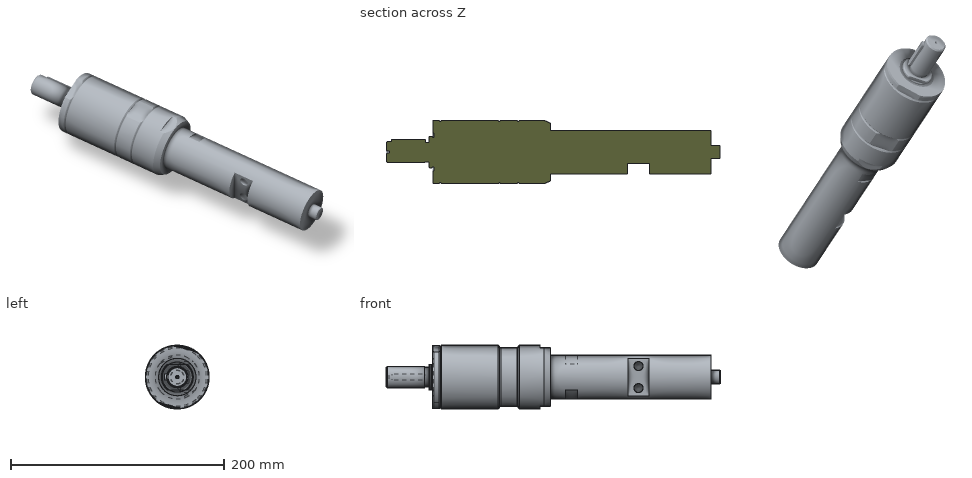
import cadquery as cq
import math

TOTAL_LENGTH = 313.5

SHAFT_DIA = 20.0
SHAFT_CHAMFER = 1.3
SHAFT_END = 36.0
NECK_DIA = 18.8
CENTRE_HOLE_DIA = 1.55
CENTRE_HOLE_DEPTH = 3.0
CENTRE_CONE_DIA = 3.0
CENTRE_CONE_DEPTH = 1.3

KEY_START = 4.7
KEY_LENGTH = 32.3
KEY_WIDTH = 6.0
KEY_TOP = 12.0

COLLAR_DIA = 30.0
COLLAR_START = 40.0
COLLAR_CHAMFER = 1.0
COLLAR_FLATS = 23.8
RECESS_DIA = 35.0
RECESS_DEPTH = 1.0

BODY_DIA = 60.0
BODY_FLATS = 55.2
FLANGE_START = 43.5
FLANGE_EDGE_LENGTH = 2.0
FLANGE_EDGE_DEPTH = 0.3
FLANGE_FLAT_ANGLE = 15.0
FLANGE_GROOVE = 50.8
BAND_START = 106.3
BAND_END = 123.8
GROOVE_HALF_WIDTH = 1.3
GROOVE_DEPTH = 1.3
REAR_FLAT_START = 144.5
REAR_CONE_START = 148.3
BODY_END = 154.2
REAR_CONE_DIA = 54.5

TUBE_DIA = 41.5
TUBE_END = 304.7
TUBE_FLATS = 38.0
TUBE_FLAT_START = 168.5
TUBE_FLAT_LENGTH = 11.0
TUBE_FLAT_ANGLE = -30.0

NOTCH_START = 226.7
NOTCH_LENGTH = 20.0
NOTCH_FLOOR = 11.0
DRILL_DIA = 8.5
DRILL_SPACING = 20.7
DRILL_DEPTH = 7.8
DRILL_TIP_ANGLE = 118.0

STUB_DIA = 13.0
STUB_CHAMFER_LENGTH = 1.0
STUB_CHAMFER_DEPTH = 0.3


def turned_section(outline):
    """Solid of revolution about X from (x, radius) points, closed along the axis."""
    points = [(outline[0][0], 0)] + outline + [(outline[-1][0], 0)]
    return cq.Workplane("XY").polyline(points).close().revolve(360, (0, 0), (1, 0))


def cylinder(start, end, diameter):
    return turned_section([(start, diameter / 2), (end, diameter / 2)])


def flat_pair(start, length, across, angle=0.0):
    """Cutter for two opposite flats, facing +Z and -Z before turning by angle about X."""
    block = cq.Workplane("XY").box(length, BODY_DIA, BODY_DIA, centered=(False, True, False))
    upper = block.translate((start, 0, across / 2))
    lower = upper.mirror("XY")
    return upper.union(lower).rotate((0, 0, 0), (1, 0, 0), angle)


def make_shaft():
    radius = SHAFT_DIA / 2
    shaft = turned_section([
        (0, radius - SHAFT_CHAMFER),
        (SHAFT_CHAMFER, radius),
        (SHAFT_END, radius),
        (SHAFT_END, NECK_DIA / 2),
        (FLANGE_START + RECESS_DEPTH, NECK_DIA / 2),
    ])
    centre_hole = turned_section([
        (0, CENTRE_CONE_DIA / 2),
        (CENTRE_CONE_DEPTH, CENTRE_HOLE_DIA / 2),
        (CENTRE_HOLE_DEPTH, CENTRE_HOLE_DIA / 2),
    ])
    key = (
        cq.Workplane("XZ")
        .center(KEY_START + KEY_LENGTH / 2, 0)
        .slot2D(KEY_LENGTH, KEY_WIDTH)
        .extrude(-KEY_TOP)
    )
    return shaft.cut(centre_hole).union(key)


def make_collar():
    radius = COLLAR_DIA / 2
    edge_radius = radius - COLLAR_CHAMFER
    collar = turned_section([
        (COLLAR_START, edge_radius),
        (COLLAR_START + COLLAR_CHAMFER, radius),
        (FLANGE_START - COLLAR_CHAMFER, radius),
        (FLANGE_START, edge_radius),
        (FLANGE_START + RECESS_DEPTH, edge_radius),
    ])
    return collar.cut(flat_pair(COLLAR_START, FLANGE_START - COLLAR_START, COLLAR_FLATS))


def make_body():
    radius = BODY_DIA / 2
    outline = [
        (FLANGE_START, radius - FLANGE_EDGE_DEPTH),
        (FLANGE_START + FLANGE_EDGE_LENGTH, radius),
    ]
    for groove in (FLANGE_GROOVE, BAND_START, BAND_END):
        outline += [
            (groove - GROOVE_HALF_WIDTH, radius),
            (groove, radius - GROOVE_DEPTH),
            (groove + GROOVE_HALF_WIDTH, radius),
        ]
    outline += [(REAR_CONE_START, radius), (BODY_END, REAR_CONE_DIA / 2)]
    flange_flats = flat_pair(
        FLANGE_START, FLANGE_GROOVE - FLANGE_START, BODY_FLATS, FLANGE_FLAT_ANGLE
    )
    band_flats = flat_pair(BAND_START, BAND_END - BAND_START, BODY_FLATS)
    rear_flats = flat_pair(REAR_FLAT_START, BODY_END - REAR_FLAT_START, BODY_FLATS)
    recess = cylinder(FLANGE_START, FLANGE_START + RECESS_DEPTH, RECESS_DIA)
    return turned_section(outline).cut(flange_flats).cut(band_flats).cut(rear_flats).cut(recess)


def make_tube():
    tube = cylinder(BODY_END, TUBE_END, TUBE_DIA)
    tube = tube.cut(flat_pair(TUBE_FLAT_START, TUBE_FLAT_LENGTH, TUBE_FLATS, TUBE_FLAT_ANGLE))
    notch = (
        cq.Workplane("XY")
        .box(NOTCH_LENGTH, TUBE_DIA, TUBE_DIA, centered=(False, False, True))
        .translate((NOTCH_START, -NOTCH_FLOOR - TUBE_DIA, 0))
    )
    tube = tube.cut(notch)
    for side in (-1, 1):
        tube = tube.cut(drilled_hole(side * DRILL_SPACING / 2))
    return tube


def drilled_hole(height):
    """Blind hole with a conical tip, running in +Y from the notch floor."""
    radius = DRILL_DIA / 2
    tip = DRILL_DEPTH + radius / math.tan(math.radians(DRILL_TIP_ANGLE / 2))
    profile = [(0, 0), (radius, 0), (radius, DRILL_DEPTH), (0, tip)]
    drill = cq.Workplane("XY").polyline(profile).close().revolve(360, (0, 0), (0, 1))
    return drill.translate((NOTCH_START + NOTCH_LENGTH / 2, -NOTCH_FLOOR, height))


def make_stub():
    radius = STUB_DIA / 2
    return turned_section([
        (TUBE_END, radius),
        (TOTAL_LENGTH - STUB_CHAMFER_LENGTH, radius),
        (TOTAL_LENGTH, radius - STUB_CHAMFER_DEPTH),
    ])


result = make_body().union(make_collar()).union(make_shaft()).union(make_tube()).union(make_stub())